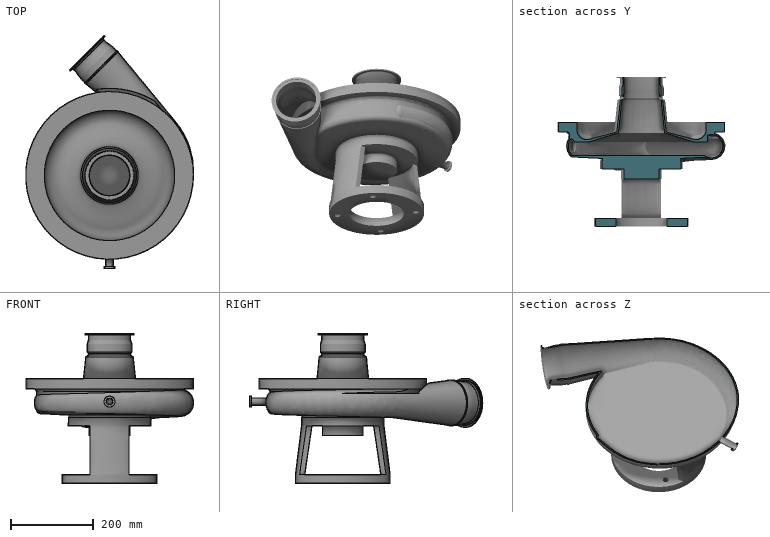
import cadquery as cq
import math

BASE_TOP = 21.0
HUB_BOTTOM = 115.5
MOUNT_BOTTOM = 139.0
MOUNT_TOP = 160.0
COLLAR_TOP = 165.0
CASING_BOTTOM = 168.5
VOLUTE_Z = 195.0
GROOVE_FLOOR = 218.0
FLANGE_BOTTOM = 229.0
FLANGE_TOP = 253.4
TOTAL_HEIGHT = 362.5

WALL = 4.5

BASE_RADIUS = 115.0
BASE_BORE_RADIUS = 66.0
BASE_HOLE_RADIUS = 7.0
BASE_HOLE_CIRCLE_RADIUS = 95.0
BASE_HOLE_COUNT = 4
BASE_HOLE_START_ANGLE = 45
MOUNT_RADIUS = 100.0
MOUNT_COLLAR_RADIUS = 98.5
HUB_RADIUS = 49.5
LEG_WIDTH = 95.5
LEG_THICKNESS = 11.5

DRUM_RADIUS = 177.0
DRUM_FILLET = 10.0
NECK_FILLET = 6.0
FLANGE_RADIUS = 203.2
DISH_RADIUS = 158.0
DISH_ARC_RADIUS = 23.0
DISH_WALL_BOTTOM = 235.0
DISH_FOOT_RADIUS = 69.4
DISH_SLOPE = math.radians(15)
CHAMBER_FLOOR = CASING_BOTTOM + WALL
CHAMBER_SIDE_ROOF = 205.0

FERRULE_RADIUS = 59.5
FERRULE_THICKNESS = 3.0
FERRULE_BORE_RADIUS = 48.6
PIPE_RADIUS = 51.4
REDUCER_RADIUS = 54.5
BORE_END = 29.5

INLET_PIPE_END = 15.7
INLET_REDUCER_START = 26.0
INLET_REDUCER_END = 45.0
INLET_GROOVE_RADIUS = 51.0
INLET_GROOVE_WALL = 1.0
INLET_GROOVE_START = 47.5
INLET_GROOVE_END = 51.5
NECK_TOP_DISTANCE = 56.5
NECK_TOP_RADIUS = 57.7
NECK_TOP = TOTAL_HEIGHT - NECK_TOP_DISTANCE
NECK_FOOT_RADIUS = 65.5
NECK_FOOT = 231.5

VOLUTE_START_ANGLE = 159.5
VOLUTE_END_ANGLE = 405.0
VOLUTE_CENTRE_RADIUS = 171.2
VOLUTE_START_HALF_HEIGHT = 19.5
VOLUTE_START_HALF_WIDTH = 11.5
VOLUTE_SLOW_END_ANGLE = 270.0
VOLUTE_SLOW_END_HALF_WIDTH = 13.8
VOLUTE_END_RADIUS = 35.8
VOLUTE_SECTIONS = 9

OUTLET_DISTANCE = 248.8
OUTLET_HUB_RADIUS = 54.0
OUTLET_HUB_END = 7.0
OUTLET_PIPE_END = 13.5
OUTLET_REDUCER_START = 33.0
OUTLET_REDUCER_END = 48.0
OUTLET_RECESS_RADIUS = 55.0
OUTLET_RECESS_DEPTH = 1.5
WELD_RADIUS = 55.8
WELD_WIDTH = 3.5
NOZZLE_TOP_RADIUS = 55.0
CLEARANCE_INNER_RADIUS = 194.5
CLEARANCE_OUTER_RADIUS = 211.0

PORT_END = 225.4
PORT_ROOT = 172.0
PORT_Z = 197.9
PORT_RADIUS = 9.3
PORT_BORE_RADIUS = 7.5
PORT_FERRULE_RADIUS = 13.3
PORT_FERRULE_THICKNESS = 4.5


def disc(radius, bottom, top):
    return cq.Workplane("XY").workplane(offset=bottom).circle(radius).extrude(top - bottom)


def ring(outer, inner, bottom, top):
    return disc(outer, bottom, top).cut(disc(inner, bottom, top))


def turned(points):
    """Solid of revolution about Z from (radius, height) points."""
    return cq.Workplane("XZ").polyline(points).close().revolve(360, (0, 0), (0, 1))


def base_flange():
    flange = ring(BASE_RADIUS, BASE_BORE_RADIUS, 0, BASE_TOP)
    holes = (
        cq.Workplane("XY")
        .polarArray(BASE_HOLE_CIRCLE_RADIUS, BASE_HOLE_START_ANGLE, 360, BASE_HOLE_COUNT)
        .circle(BASE_HOLE_RADIUS)
        .extrude(BASE_TOP)
    )
    return flange.cut(holes)


def legs():
    """Two legs cut from a conical shell, on the -Y and +Y sides."""
    shell = turned(
        [
            (BASE_RADIUS, BASE_TOP),
            (MOUNT_RADIUS, MOUNT_BOTTOM),
            (MOUNT_RADIUS - LEG_THICKNESS, MOUNT_BOTTOM),
            (BASE_RADIUS - LEG_THICKNESS, BASE_TOP),
        ]
    )
    slab = cq.Workplane("XY").box(LEG_WIDTH, 2 * BASE_RADIUS, MOUNT_BOTTOM, centered=(True, True, False))
    return shell.intersect(slab)


def bearing_mount():
    hub = disc(HUB_RADIUS, HUB_BOTTOM, MOUNT_BOTTOM)
    plate = disc(MOUNT_RADIUS, MOUNT_BOTTOM, MOUNT_TOP)
    collar = disc(MOUNT_COLLAR_RADIUS, MOUNT_TOP, COLLAR_TOP)
    return hub.union(plate).union(collar)


def dish_arc_end():
    """Point where the rounded edge of the dish meets its sloping floor."""
    radius = DISH_RADIUS - DISH_ARC_RADIUS * (1 + math.sin(DISH_SLOPE))
    return radius, DISH_WALL_BOTTOM - DISH_ARC_RADIUS * math.cos(DISH_SLOPE)


def casing_body():
    """Solid drum with its cover flange, dish and inlet neck."""
    arc_end_radius, arc_end_z = dish_arc_end()
    half_turn = (math.pi / 2 + DISH_SLOPE) / 2
    dish_arc_middle = (
        DISH_RADIUS - DISH_ARC_RADIUS * (1 - math.cos(half_turn)),
        DISH_WALL_BOTTOM - DISH_ARC_RADIUS * math.sin(half_turn),
    )
    dish_foot_z = arc_end_z + (arc_end_radius - DISH_FOOT_RADIUS) * math.tan(DISH_SLOPE)
    corner = math.sqrt(0.5)
    drum_fillet_middle = (
        DRUM_RADIUS - DRUM_FILLET * (1 - corner),
        CASING_BOTTOM + DRUM_FILLET * (1 - corner),
    )
    neck_fillet_middle = (
        DRUM_RADIUS + NECK_FILLET * (1 - corner),
        FLANGE_BOTTOM - NECK_FILLET * (1 - corner),
    )
    profile = (
        cq.Workplane("XZ")
        .moveTo(0, COLLAR_TOP)
        .lineTo(MOUNT_COLLAR_RADIUS, COLLAR_TOP)
        .lineTo(DRUM_RADIUS - DRUM_FILLET, CASING_BOTTOM)
        .threePointArc(drum_fillet_middle, (DRUM_RADIUS, CASING_BOTTOM + DRUM_FILLET))
        .lineTo(DRUM_RADIUS, FLANGE_BOTTOM - NECK_FILLET)
        .threePointArc(neck_fillet_middle, (DRUM_RADIUS + NECK_FILLET, FLANGE_BOTTOM))
        .lineTo(FLANGE_RADIUS, FLANGE_BOTTOM)
        .lineTo(FLANGE_RADIUS, FLANGE_TOP)
        .lineTo(DISH_RADIUS, FLANGE_TOP)
        .lineTo(DISH_RADIUS, DISH_WALL_BOTTOM)
        .threePointArc(dish_arc_middle, (arc_end_radius, arc_end_z))
        .lineTo(DISH_FOOT_RADIUS, dish_foot_z)
        .lineTo(NECK_FOOT_RADIUS, NECK_FOOT)
        .lineTo(NECK_TOP_RADIUS, NECK_TOP)
        .lineTo(INLET_GROOVE_RADIUS, TOTAL_HEIGHT - INLET_GROOVE_END)
        .lineTo(INLET_GROOVE_RADIUS, TOTAL_HEIGHT - INLET_GROOVE_START)
        .lineTo(REDUCER_RADIUS, TOTAL_HEIGHT - INLET_REDUCER_END)
        .lineTo(REDUCER_RADIUS, TOTAL_HEIGHT - INLET_REDUCER_START)
        .lineTo(PIPE_RADIUS, TOTAL_HEIGHT - INLET_PIPE_END)
        .lineTo(PIPE_RADIUS, TOTAL_HEIGHT - FERRULE_THICKNESS)
        .lineTo(FERRULE_RADIUS, TOTAL_HEIGHT - FERRULE_THICKNESS)
        .lineTo(FERRULE_RADIUS, TOTAL_HEIGHT)
        .lineTo(0, TOTAL_HEIGHT)
        .close()
    )
    return profile.revolve(360, (0, 0), (0, 1))


def casing_cavity():
    """Inlet bore widening into the impeller chamber."""
    arc_end_radius = dish_arc_end()[0]
    groove_bore_radius = INLET_GROOVE_RADIUS - INLET_GROOVE_WALL
    chamber_radius = DRUM_RADIUS - WALL
    return turned(
        [
            (0, CHAMBER_FLOOR),
            (chamber_radius, CHAMBER_FLOOR),
            (chamber_radius, CHAMBER_SIDE_ROOF),
            (arc_end_radius, CHAMBER_SIDE_ROOF),
            (NECK_FOOT_RADIUS - WALL, NECK_FOOT - WALL),
            (NECK_TOP_RADIUS - WALL, NECK_TOP),
            (groove_bore_radius, TOTAL_HEIGHT - INLET_GROOVE_END),
            (FERRULE_BORE_RADIUS, TOTAL_HEIGHT - BORE_END),
            (FERRULE_BORE_RADIUS, TOTAL_HEIGHT),
            (0, TOTAL_HEIGHT),
        ]
    )


def volute_section(angle):
    """Half width and half height of the volute tube at an angle in degrees."""
    turn = (angle - VOLUTE_START_ANGLE) / (VOLUTE_END_ANGLE - VOLUTE_START_ANGLE)
    half_height = VOLUTE_START_HALF_HEIGHT + turn * (VOLUTE_END_RADIUS - VOLUTE_START_HALF_HEIGHT)
    if angle < VOLUTE_SLOW_END_ANGLE:
        part = (angle - VOLUTE_START_ANGLE) / (VOLUTE_SLOW_END_ANGLE - VOLUTE_START_ANGLE)
        growth = part * (VOLUTE_SLOW_END_HALF_WIDTH - VOLUTE_START_HALF_WIDTH)
        return VOLUTE_START_HALF_WIDTH + growth, half_height
    part = (angle - VOLUTE_SLOW_END_ANGLE) / (VOLUTE_END_ANGLE - VOLUTE_SLOW_END_ANGLE)
    growth = math.sin(part * math.pi / 2) * (VOLUTE_END_RADIUS - VOLUTE_SLOW_END_HALF_WIDTH)
    return VOLUTE_SLOW_END_HALF_WIDTH + growth, half_height


def volute_plane(angle):
    """Plane across the volute tube, with X down and Y toward the Z axis of the part."""
    turn = math.radians(angle)
    outward = cq.Vector(math.cos(turn), math.sin(turn), 0)
    along = cq.Vector(-math.sin(turn), math.cos(turn), 0)
    centre = outward * VOLUTE_CENTRE_RADIUS + cq.Vector(0, 0, VOLUTE_Z)
    return cq.Plane(centre, (0, 0, -1), along)


def volute_tube(inset):
    """Spiral tube with a rounded start, made smaller all round by the inset."""
    step = (VOLUTE_END_ANGLE - VOLUTE_START_ANGLE) / (VOLUTE_SECTIONS - 1)
    wires = []
    for index in range(VOLUTE_SECTIONS):
        angle = VOLUTE_START_ANGLE + index * step
        half_width, half_height = volute_section(angle)
        oval = cq.Workplane(volute_plane(angle)).ellipse(half_height - inset, half_width - inset)
        wires.append(oval.val())
    tube = cq.Workplane(cq.Solid.makeLoft(wires))

    start_width, start_height = volute_section(VOLUTE_START_ANGLE)
    tip_width = start_width - inset
    tip_height = start_height - inset
    tip = (
        cq.Workplane(volute_plane(VOLUTE_START_ANGLE))
        .moveTo(tip_height, 0)
        .ellipseArc(tip_height, tip_width, 0, 180, startAtCurrent=True)
        .close()
        .revolve(180, (1, 0), (0, 0))
    )
    return tube.union(tip)


def along_nozzle(shape):
    """Move a shape turned about Z onto the nozzle axis, with Z = 0 at the volute end."""
    centre = volute_plane(VOLUTE_END_ANGLE).origin
    level = shape.rotate((0, 0, 0), (1, 0, 0), -90)
    return level.rotate((0, 0, 0), (0, 0, 1), VOLUTE_END_ANGLE).translate(centre)


def nozzle_body():
    weld_end = OUTLET_DISTANCE - OUTLET_REDUCER_END
    return along_nozzle(
        turned(
            [
                (0, 0),
                (VOLUTE_END_RADIUS, 0),
                (NOZZLE_TOP_RADIUS, weld_end - WELD_WIDTH),
                (WELD_RADIUS, weld_end - WELD_WIDTH),
                (WELD_RADIUS, weld_end),
                (REDUCER_RADIUS, weld_end),
                (REDUCER_RADIUS, OUTLET_DISTANCE - OUTLET_REDUCER_START),
                (PIPE_RADIUS, OUTLET_DISTANCE - OUTLET_PIPE_END),
                (PIPE_RADIUS, OUTLET_DISTANCE - OUTLET_HUB_END),
                (OUTLET_HUB_RADIUS, OUTLET_DISTANCE - FERRULE_THICKNESS),
                (FERRULE_RADIUS, OUTLET_DISTANCE - FERRULE_THICKNESS),
                (FERRULE_RADIUS, OUTLET_DISTANCE),
                (0, OUTLET_DISTANCE),
            ]
        )
    )


def nozzle_cavity():
    return along_nozzle(
        turned(
            [
                (0, 0),
                (VOLUTE_END_RADIUS - WALL, 0),
                (NOZZLE_TOP_RADIUS - WALL, OUTLET_DISTANCE - OUTLET_REDUCER_END),
                (FERRULE_BORE_RADIUS, OUTLET_DISTANCE - BORE_END),
                (FERRULE_BORE_RADIUS, OUTLET_DISTANCE - OUTLET_RECESS_DEPTH),
                (OUTLET_RECESS_RADIUS, OUTLET_DISTANCE - OUTLET_RECESS_DEPTH),
                (OUTLET_RECESS_RADIUS, OUTLET_DISTANCE),
                (0, OUTLET_DISTANCE),
            ]
        )
    )


def port_cylinder(radius, start, end):
    plane = cq.Workplane("XZ", origin=(0, -start, PORT_Z))
    return plane.circle(radius).extrude(end - start)


def port_body():
    tube = port_cylinder(PORT_RADIUS, PORT_ROOT, PORT_END)
    ferrule = port_cylinder(PORT_FERRULE_RADIUS, PORT_END - PORT_FERRULE_THICKNESS, PORT_END)
    return tube.union(ferrule)


def flange_clearance(margin):
    """Room around the flange, made larger all round by the margin, and the space under the dish."""
    groove = ring(
        CLEARANCE_OUTER_RADIUS + margin,
        CLEARANCE_INNER_RADIUS - margin,
        GROOVE_FLOOR - margin,
        TOTAL_HEIGHT,
    )
    cover = disc(DISH_RADIUS + WALL, CHAMBER_SIDE_ROOF, TOTAL_HEIGHT)
    return groove.union(cover)


def casing():
    outside = volute_tube(0).union(nozzle_body()).cut(flange_clearance(0))
    passage = volute_tube(WALL).union(nozzle_cavity()).cut(flange_clearance(WALL))
    body = casing_body().union(outside).union(port_body())
    body = body.cut(casing_cavity()).cut(passage)
    return body.cut(port_cylinder(PORT_BORE_RADIUS, PORT_ROOT, PORT_END))


result = casing().union(bearing_mount()).union(legs()).union(base_flange())